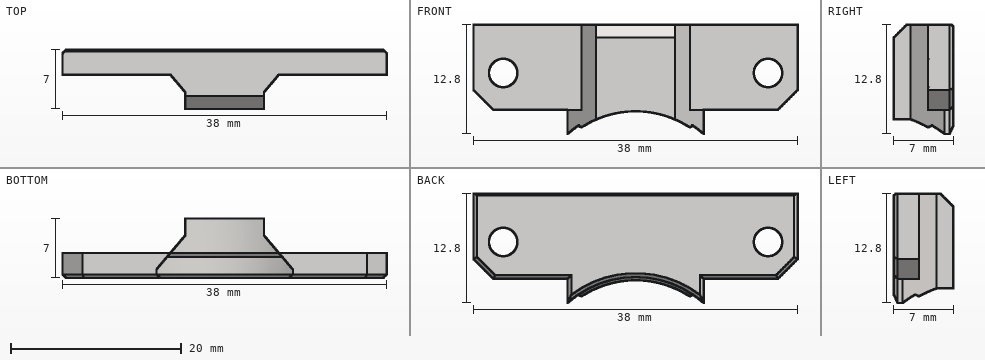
import cadquery as cq

plate_length = 38.0
plate_height = 10.0
plate_front = 4.03
back = 7.0
corner_cut = 2.35
hole_diameter = 3.3
hole_spacing = 31.0
hole_depth_below_top = 5.65

nose_width = 9.25
boss_width = 15.95
flare_start = 1.98
flare_end = 5.95
nose_chamfer = 1.52

bore_radius = 11.6
bore_crown = 10.15
bore_step = 0.38
step_start = plate_front
step_length = 0.45
step_end = step_start + step_length
boss_blank_height = 15.2

back_chamfer = 0.45
top_back_chamfer = 0.23


def make_plate():
    """Plate with both lower corners cut off."""
    blank = cq.Workplane("XY").box(
        plate_length, back - plate_front, plate_height, centered=(True, False, False)
    )
    blank = blank.translate((0, plate_front, -plate_height))
    return blank.edges("|Y and <Z").chamfer(corner_cut)


def make_boss():
    """Flared boss with a sloping top at the nose."""
    boss = (
        cq.Workplane("XY")
        .moveTo(-nose_width / 2, 0)
        .lineTo(nose_width / 2, 0)
        .lineTo(nose_width / 2, flare_start)
        .lineTo(boss_width / 2, flare_end)
        .lineTo(boss_width / 2, back)
        .lineTo(-boss_width / 2, back)
        .lineTo(-boss_width / 2, flare_end)
        .lineTo(-nose_width / 2, flare_start)
        .close()
        .extrude(-boss_blank_height)
    )
    return boss.edges("<Y and >Z").chamfer(nose_chamfer)


def make_bore():
    """Stepped round cutter, with a conical step, turned about an axis along Y."""
    wide_radius = bore_radius + bore_step
    profile = (
        cq.Workplane("XY")
        .lineTo(bore_radius, 0)
        .lineTo(bore_radius, step_start)
        .lineTo(wide_radius, step_end)
        .lineTo(wide_radius, back)
        .lineTo(0, back)
        .close()
    )
    cutter = profile.revolve(360, (0, 0, 0), (0, 1, 0))
    return cutter.translate((0, 0, -bore_crown - bore_radius))


def make_screw_holes():
    """Cutters for the two through holes in the plate."""
    return (
        cq.Workplane("XZ")
        .pushPoints([(side * hole_spacing / 2, -hole_depth_below_top) for side in (-1, 1)])
        .circle(hole_diameter / 2)
        .extrude(-back)
    )


body = make_plate().union(make_boss()).cut(make_bore()).clean()
body = body.faces(">Y").edges("not >Z").chamfer(back_chamfer)
body = body.edges(">Y and >Z").chamfer(top_back_chamfer)
result = body.cut(make_screw_holes())